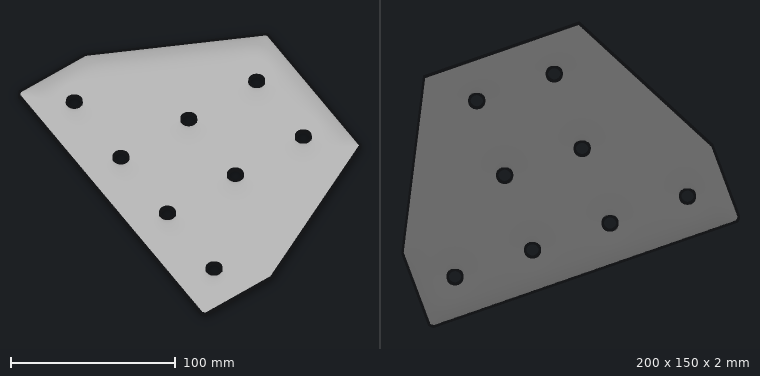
import cadquery as cq

pitch = 50.0
thickness = 2.0
hole_diameter = 9.0
corner_chamfer = 2.0

half_width = 2 * pitch
depth = 3 * pitch
half_top_width = pitch
shoulder_height = pitch

outline = [
    (-half_width + corner_chamfer, 0),
    (half_width - corner_chamfer, 0),
    (half_width, corner_chamfer),
    (half_width, shoulder_height),
    (half_top_width, depth),
    (-half_top_width, depth),
    (-half_width, shoulder_height),
    (-half_width, corner_chamfer),
]

hole_centers = []
for row, columns in enumerate([4, 2, 2]):
    for column in range(columns):
        x = (column - (columns - 1) / 2) * pitch
        y = (row + 0.5) * pitch
        hole_centers.append((x, y))

plate = cq.Workplane("XY").polyline(outline).close().extrude(thickness)
holes = cq.Workplane("XY").pushPoints(hole_centers).circle(hole_diameter / 2).extrude(thickness)

result = plate.cut(holes)